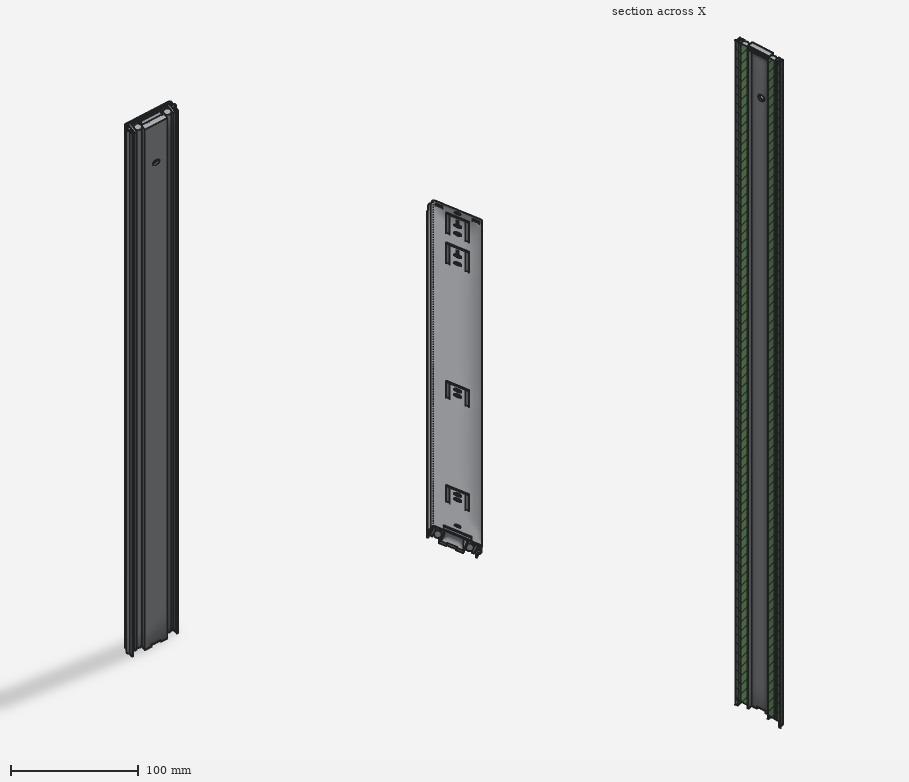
import cadquery as cq


LENGTH = 700.0
OUTER_DEPTH = 11.0
INNER_PROTRUSION = 1.7
DEPTH = OUTER_DEPTH + INNER_PROTRUSION
WIDTH = 45.5
WALL = 1.05

INNER_SETBACK = 3.0
MIDDLE_SETBACK = 6.0

CUT = 7.0

RACE_BULGE = 1.5
OUTER_HALF_WIDTH = WIDTH / 2 - RACE_BULGE
OUTER_CORNER = 1.5
OUTER_STRIP_RADIUS = 1.5
OUTER_STRIP_X = OUTER_DEPTH / 2
OUTER_STRIP_Y = WIDTH / 2 - WALL - OUTER_STRIP_RADIUS

MIDDLE_BACK = 1.75
MIDDLE_FRONT = OUTER_DEPTH
MIDDLE_HALF_WIDTH = OUTER_STRIP_Y - OUTER_STRIP_RADIUS
MIDDLE_FLANGE = 2.0

INNER_BACK = 3.5
INNER_HALF_WIDTH = 10.5
INNER_WEB = 2.0
INNER_STRIP_RADIUS = (MIDDLE_HALF_WIDTH - MIDDLE_FLANGE - INNER_HALF_WIDTH) / 2
INNER_STRIP_X = 8.0
INNER_STRIP_Y = INNER_HALF_WIDTH + INNER_STRIP_RADIUS

TAB_SLOT_HALF_WIDTH = 10.0
TAB_SLOT = 3.15
LONG_TAB = 44.0
SHORT_TAB = 36.0
LONG_TAB_TOPS = (684.5, 620.0)
SHORT_TAB_TOPS = (323.0, 99.0)

LONG_TAB_SLIT_DROP = 10.5
LONG_TAB_HOLE_DROPS = (19.5, 36.5)
SHORT_TAB_HOLE_DROPS = (11.0, 22.5)
SLIT_WIDTH = 2.0
SLIT_HEIGHT = 5.0
TAB_HOLE = 6.0
THROUGH_HOLE_Z = LONG_TAB_TOPS[0] - LONG_TAB_HOLE_DROPS[1]

END_HOLE = 5.0
TOP_HOLE_Z = 692.0
BOTTOM_HOLE_Z = 20.0
CORNER_SLOT_INNER_Y = 12.5
CORNER_SLOT_OUTER_Y = 19.0
CORNER_SLOT_HEIGHT = 4.0
FOOT_NOTCH_HALF_WIDTH = 12.0
FOOT_NOTCH_HEIGHT = 10.0

SMALL_NOTCH_HALF_WIDTH = 4.0
SMALL_NOTCH_HEIGHT = 2.0

STOP_HEIGHT = 3.5
STOP_STEP = 1.5
STOP_STEP_X = 8.0


def bar(x_from, x_to, y_from, y_to, z_from, z_to):
    """A box given by its limits along each axis."""
    size = (x_to - x_from, y_to - y_from, z_to - z_from)
    return cq.Workplane("XY").box(*size, centered=False).translate((x_from, y_from, z_from))


def rod(x, y, radius, z_from):
    """A round bar along Z, from z_from to the top of the slide."""
    return cq.Workplane("XY", origin=(x, y, z_from)).circle(radius).extrude(LENGTH - z_from)


def web_hole(z, diameter):
    """A cutter for a hole along X on the centre line, long enough to pass through every rail."""
    return cq.Workplane("YZ", origin=(-CUT, 0, z)).circle(diameter / 2).extrude(DEPTH + 2 * CUT)


def web_opening(y_from, y_to, z_from, z_to):
    """A cutter for a rectangular opening in the outer rail's web."""
    return bar(-CUT, WALL, y_from, y_to, z_from, z_to)


def tab_slot(top, height):
    """A cutter for the arch-shaped slot that frees one tab on three sides."""
    inside = TAB_SLOT_HALF_WIDTH - TAB_SLOT
    arch = web_opening(-TAB_SLOT_HALF_WIDTH, TAB_SLOT_HALF_WIDTH, top - height, top)
    return arch.cut(web_opening(-inside, inside, top - height, top - TAB_SLOT))


def foot_notch(half_width, z_top):
    """A cutter for a notch at the foot of a rail, through its full depth."""
    return bar(-CUT, DEPTH + CUT, -half_width, half_width, -CUT, z_top)


def make_outer_rail():
    rail = bar(0, OUTER_DEPTH, -OUTER_HALF_WIDTH, OUTER_HALF_WIDTH, 0, LENGTH)
    rail = rail.edges("|Z and <X").fillet(OUTER_CORNER)

    for side in (-1, 1):
        rail = rail.union(rod(OUTER_STRIP_X, side * OUTER_STRIP_Y, OUTER_STRIP_RADIUS + WALL, 0))

    channel_half = OUTER_HALF_WIDTH - WALL
    rail = rail.cut(bar(WALL, OUTER_DEPTH, -channel_half, channel_half, 0, LENGTH))
    for side in (-1, 1):
        rail = rail.cut(rod(OUTER_STRIP_X, side * OUTER_STRIP_Y, OUTER_STRIP_RADIUS, 0))

    for top in LONG_TAB_TOPS:
        rail = rail.cut(tab_slot(top, LONG_TAB))
        slit_z = top - LONG_TAB_SLIT_DROP
        slit = web_opening(
            -SLIT_WIDTH / 2, SLIT_WIDTH / 2, slit_z - SLIT_HEIGHT / 2, slit_z + SLIT_HEIGHT / 2
        )
        rail = rail.cut(slit)
        for drop in LONG_TAB_HOLE_DROPS:
            rail = rail.cut(web_hole(top - drop, TAB_HOLE))
    for top in SHORT_TAB_TOPS:
        rail = rail.cut(tab_slot(top, SHORT_TAB))
        for drop in SHORT_TAB_HOLE_DROPS:
            rail = rail.cut(web_hole(top - drop, TAB_HOLE))

    for z in (TOP_HOLE_Z, BOTTOM_HOLE_Z):
        rail = rail.cut(web_hole(z, END_HOLE))

    slot_bottom = TOP_HOLE_Z - CORNER_SLOT_HEIGHT / 2
    slot_top = TOP_HOLE_Z + CORNER_SLOT_HEIGHT / 2
    right_slot = web_opening(CORNER_SLOT_INNER_Y, CORNER_SLOT_OUTER_Y, slot_bottom, slot_top)
    rail = rail.cut(right_slot).cut(right_slot.mirror("XZ"))

    return rail.cut(foot_notch(FOOT_NOTCH_HALF_WIDTH, FOOT_NOTCH_HEIGHT))


def make_middle_rail():
    half = MIDDLE_HALF_WIDTH
    channel_half = half - MIDDLE_FLANGE
    rail = bar(MIDDLE_BACK, MIDDLE_FRONT, -half, half, MIDDLE_SETBACK, LENGTH)
    rail = rail.cut(bar(MIDDLE_BACK + WALL, MIDDLE_FRONT, -channel_half, channel_half, 0, LENGTH))
    return rail.cut(web_hole(THROUGH_HOLE_Z, TAB_HOLE))


def make_inner_rail():
    half = INNER_HALF_WIDTH
    channel_half = half - WALL
    web_x = DEPTH - INNER_WEB
    rail = bar(INNER_BACK, DEPTH, -half, half, INNER_SETBACK, LENGTH)
    stop_bottom = LENGTH - STOP_HEIGHT
    rail = rail.cut(bar(INNER_BACK, web_x, -channel_half, channel_half, 0, stop_bottom))
    rail = rail.cut(
        bar(INNER_BACK, STOP_STEP_X, -channel_half, channel_half, LENGTH - STOP_STEP, LENGTH)
    )
    rail = rail.cut(foot_notch(SMALL_NOTCH_HALF_WIDTH, INNER_SETBACK + SMALL_NOTCH_HEIGHT))
    return rail.cut(web_hole(THROUGH_HOLE_Z, TAB_HOLE))


def make_bearing_strips():
    """One strip in each race: two outside the middle rail and two inside it."""
    strips = []
    for side in (-1, 1):
        strips.append(rod(OUTER_STRIP_X, side * OUTER_STRIP_Y, OUTER_STRIP_RADIUS, MIDDLE_SETBACK))
        strips.append(rod(INNER_STRIP_X, side * INNER_STRIP_Y, INNER_STRIP_RADIUS, MIDDLE_SETBACK))
    return strips


outer_rail = make_outer_rail()
middle_rail = make_middle_rail()
inner_rail = make_inner_rail()
bearing_strips = make_bearing_strips()

result = cq.Compound.makeCompound(
    [
        outer_rail.val(),
        middle_rail.val(),
        inner_rail.val(),
        *[strip.val() for strip in bearing_strips],
    ]
)